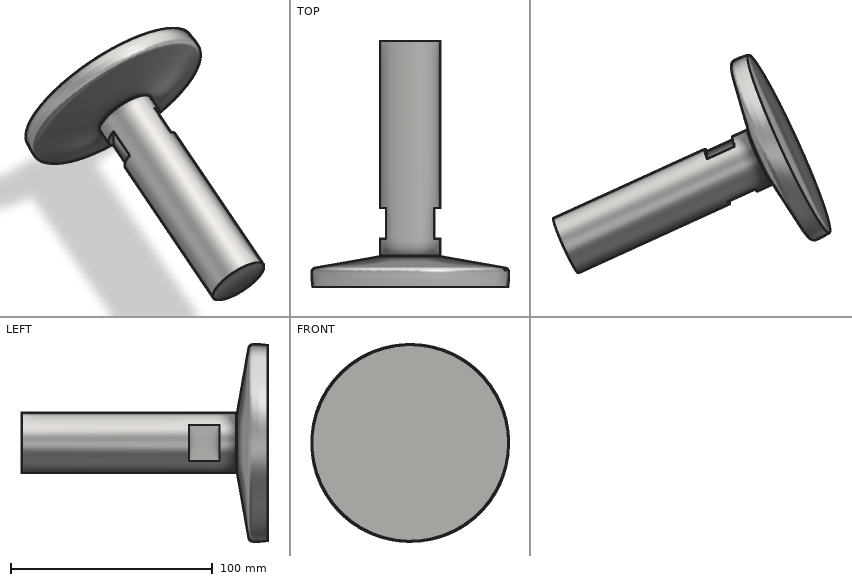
import cadquery as cq

total_length = 122.0
disc_radius = 98.0 / 2
stem_radius = 30.0 / 2

face_radius = 48.5
taper_height = 4.1
rim_corner_height = 9.3
cone_top_height = 15.2
rim_fillet = 2.5

groove_depth = 0.6
groove_width = 0.5

flats_width = 24.0
flats_start = 24.0
flats_length = 15.1


def revolved_body():
    """Disc with a slightly tapered rim, conical back and stem, turned about Y."""
    groove_radius = stem_radius - groove_depth
    groove_top_height = cone_top_height + groove_width
    body = (
        cq.Workplane("XY")
        .polyline([
            (0, 0),
            (face_radius, 0),
            (disc_radius, taper_height),
            (disc_radius, rim_corner_height),
            (stem_radius, cone_top_height),
            (groove_radius, cone_top_height),
            (groove_radius, groove_top_height),
            (stem_radius, groove_top_height),
            (stem_radius, total_length),
            (0, total_length),
        ])
        .close()
        .revolve(360, (0, 0, 0), (0, 1, 0))
    )
    rim_edges = body.edges(cq.selectors.RadiusNthSelector(-1))
    return rim_edges.edges(">Y").fillet(rim_fillet)


def flat_cutter(side):
    """Block that removes the stem outside one wrench flat."""
    block_depth = stem_radius
    block_height = 3 * stem_radius
    return cq.Workplane("XY").box(block_depth, flats_length, block_height).translate((
        side * (flats_width + block_depth) / 2,
        flats_start + flats_length / 2,
        0,
    ))


result = revolved_body()
for side in (-1, 1):
    result = result.cut(flat_cutter(side))